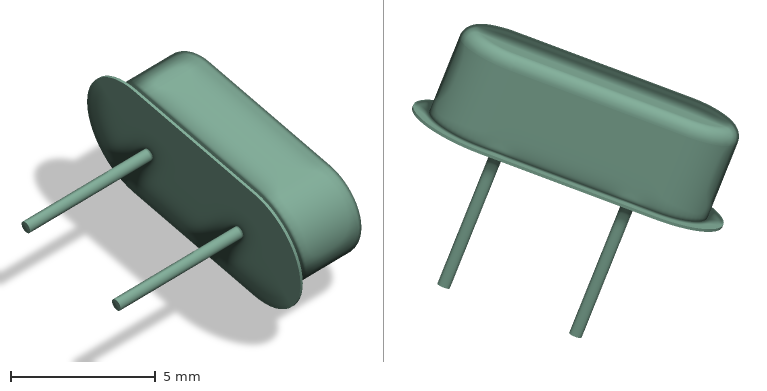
import cadquery as cq

flange_length = 11.5
flange_height = 5.0
flange_thickness = 0.1

can_height = 3.81
can_length = flange_length - flange_height + can_height
body_depth = 3.5
can_edge_radius = 0.5

overall_depth = 9.0
pin_length = overall_depth - body_depth
pin_diameter = 0.46
pin_spacing = 4.88


def stadium_block(length, height, depth):
    """Stadium outline in XZ, extruded from Y = 0 toward +Y."""
    return cq.Workplane("XZ").slot2D(length, height).extrude(-depth)


flange = stadium_block(flange_length, flange_height, flange_thickness)

can = stadium_block(can_length, can_height, body_depth)
can = can.faces(">Y").edges().fillet(can_edge_radius)

pins = (
    cq.Workplane("XZ", origin=(0, flange_thickness, 0))
    .pushPoints([(-pin_spacing / 2, 0), (pin_spacing / 2, 0)])
    .circle(pin_diameter / 2)
    .extrude(pin_length + flange_thickness)
)

result = flange.union(can).union(pins)